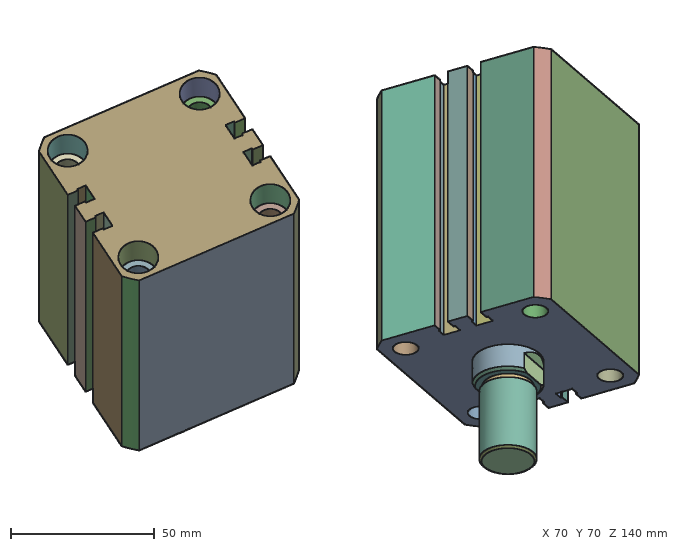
import cadquery as cq
import math

housing_side = 70.0
housing_bottom = 39.8
overall_height = 140.0
housing_height = overall_height - housing_bottom
corner_flat_half = 30.5
corner_radius = math.hypot(housing_side / 2, corner_flat_half)

hole_pitch = 52.1
hole_diameter = 9.0
counterbore_diameter = 13.9
counterbore_depth = 11.2

slot_offset = 6.6
slot_mouth_width = 5.3
slot_wide_width = 6.6
slot_mouth_depth = 4.0
slot_depth = 7.4

collar_diameter = 24.9
collar_length = 9.8
collar_chamfer = 1.0
flats_width = 20.9
flats_start = 2.8
undercut_diameter = 18.0
undercut_length = 2.0
rod_diameter = 20.0
rod_end_chamfer = 0.8


def make_slot(side, x):
    """T-slot along the whole housing height, open on the side * Y face."""
    face_y = side * housing_side / 2
    mouth = (
        cq.Workplane("XY", origin=(x, face_y - side * slot_mouth_depth / 2, housing_bottom))
        .rect(slot_mouth_width, slot_mouth_depth)
        .extrude(housing_height)
    )
    wide_depth = slot_depth - slot_mouth_depth
    wide_y = face_y - side * (slot_mouth_depth + wide_depth / 2)
    wide = (
        cq.Workplane("XY", origin=(x, wide_y, housing_bottom))
        .rect(slot_wide_width, wide_depth)
        .extrude(housing_height)
    )
    return mouth.union(wide)


def make_housing():
    """Square block with rounded corners, four mounting holes and four T-slots."""
    base = cq.Workplane("XY", origin=(0, 0, housing_bottom))
    block = base.rect(housing_side, housing_side).extrude(housing_height)
    block = block.intersect(base.circle(corner_radius).extrude(housing_height))
    block = (
        block.faces(">Z")
        .workplane(origin=(0, 0, overall_height))
        .rect(hole_pitch, hole_pitch, forConstruction=True)
        .vertices()
        .cboreHole(hole_diameter, counterbore_diameter, counterbore_depth)
    )
    for side in (-1, 1):
        for x in (-slot_offset, slot_offset):
            block = block.cut(make_slot(side, x))
    return block


def make_wrench_flat(side):
    """Cutter for one flat on the side * X of the collar, with a 45 degree run-out at the top."""
    flat_x = flats_width / 2
    outer_x = collar_diameter
    flat_top = housing_bottom - flats_start
    flat_bottom = housing_bottom - collar_length
    return (
        cq.Workplane("XZ")
        .moveTo(side * flat_x, flat_bottom)
        .lineTo(side * flat_x, flat_top)
        .lineTo(side * outer_x, flat_top + outer_x - flat_x)
        .lineTo(side * outer_x, flat_bottom)
        .close()
        .extrude(collar_diameter / 2, both=True)
    )


def make_rod():
    """Turned rod that starts at the underside of the housing and reaches down to Z = 0."""
    undercut_top = housing_bottom - collar_length
    undercut_bottom = undercut_top - undercut_length
    end = cq.Workplane("XY").circle(rod_diameter / 2).extrude(undercut_bottom)
    end = end.faces("<Z").chamfer(rod_end_chamfer)
    undercut = (
        cq.Workplane("XY", origin=(0, 0, undercut_bottom))
        .circle(undercut_diameter / 2)
        .extrude(undercut_length)
    )
    collar = (
        cq.Workplane("XY", origin=(0, 0, undercut_top))
        .circle(collar_diameter / 2)
        .extrude(collar_length)
        .faces("<Z")
        .chamfer(collar_chamfer)
    )
    for side in (-1, 1):
        collar = collar.cut(make_wrench_flat(side))
    return collar.union(undercut).union(end)


housing = make_housing()
rod = make_rod()

result = cq.Compound.makeCompound([housing.val(), rod.val()])